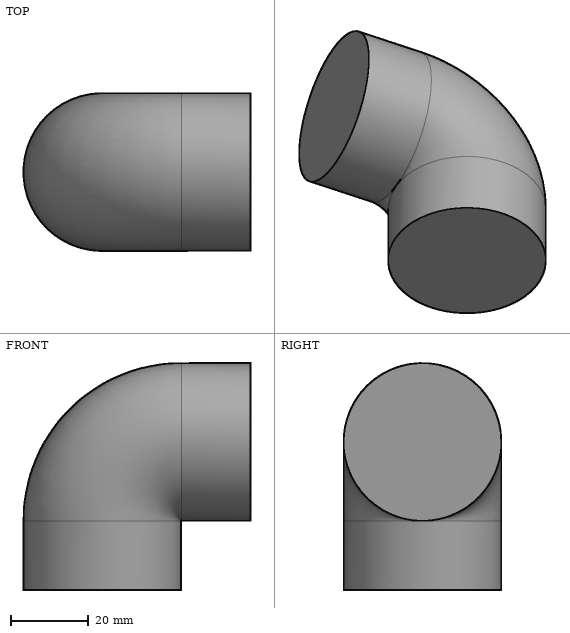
import cadquery as cq

outer_diameter = 41.0
collar_length = 18.0

outer_radius = outer_diameter / 2
bend_radius = outer_radius
bend_angle = 90.0


def lower_collar():
    """Straight collar pointing down, centred on the Z axis, with its upper face at Z = 0."""
    return cq.Workplane("XY").circle(outer_radius).extrude(-collar_length)


def bend():
    """Quarter torus from the lower collar, turning from +Z to +X."""
    return (
        cq.Workplane("XY")
        .circle(outer_radius)
        .revolve(bend_angle, (bend_radius, 0, 0), (bend_radius, 1, 0))
    )


def side_collar():
    """Straight collar pointing along +X from the end of the bend."""
    return (
        cq.Workplane("YZ", origin=(bend_radius, 0, bend_radius))
        .circle(outer_radius)
        .extrude(collar_length)
    )


result = bend().union(lower_collar()).union(side_collar())